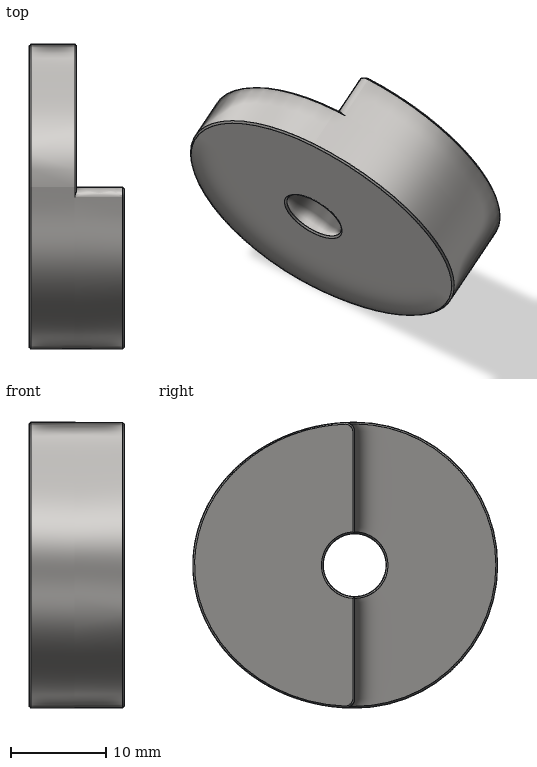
import cadquery as cq

thickness = 10.0
disc_thickness = thickness / 2
length_y = 32.0
round_radius = 15.0
long_radius = length_y - round_radius
bore_diameter = 6.6
edge_chamfer = 0.2
step_round = 1.0


def elliptical_half(wire_start):
    """Add the elliptical half of the outline, from +Z through -Y to -Z."""
    return wire_start.ellipseArc(
        long_radius, round_radius, 90, 270, startAtCurrent=True, sense=1
    )


def bored(body):
    """Cut the through bore."""
    bore = cq.Workplane("YZ").circle(bore_diameter / 2).extrude(thickness)
    return body.cut(bore)


def make_disc():
    """Full-outline disc with all of its rims chamfered."""
    outline = elliptical_half(cq.Workplane("YZ").moveTo(0, round_radius))
    disc = outline.threePointArc((round_radius, 0), (0, round_radius)).close()
    return bored(disc.extrude(disc_thickness)).faces("<X or >X").edges().chamfer(edge_chamfer)


def make_raised_half():
    """Thicker elliptical half; it starts inside the disc to fill the disc's rim chamfers."""
    start_x = disc_thickness - edge_chamfer
    outline = elliptical_half(
        cq.Workplane("YZ", origin=(start_x, 0, 0)).moveTo(0, round_radius)
    ).close()
    half = outline.extrude(thickness - start_x)
    half = half.edges("|X").fillet(step_round)
    return bored(half).faces(">X").edges().chamfer(edge_chamfer)


result = make_disc().union(make_raised_half(), clean=True)